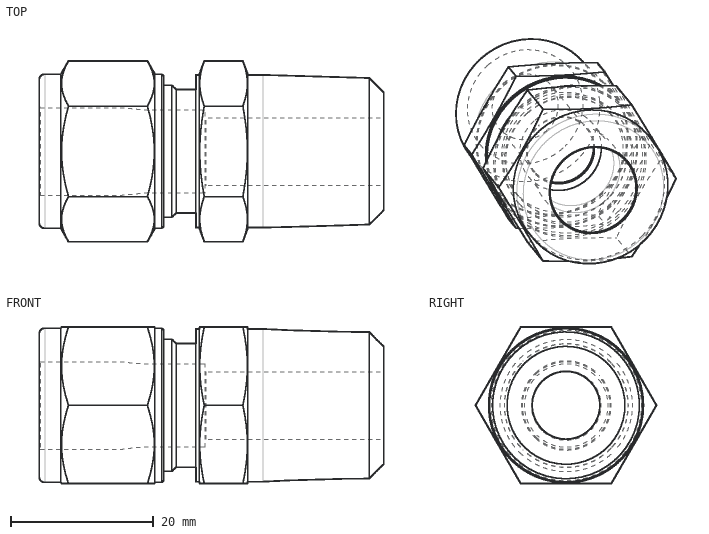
import cadquery as cq
import math

length = 48.3
across_flats = 22.0
across_corners = across_flats / math.cos(math.radians(30))

nut_radius = 10.8
nut_end = 17.5
nut_round = 0.75
nut_back_bevel = 0.3
nut_hex_start = 3.05
nut_hex_end = 16.25
nut_hex_bevel = 1.05

collar_radius = 9.3
collar_end = 19.25
collar_bevel = 0.65
neck_radius = 8.7
neck_end = 22.0

body_radius = 10.75
body_hex_start = 22.45
body_hex_end = 29.25
body_hex_bevel = 0.7
body_hex_face_radius = 10.85
taper_start = 31.35
tip_bevel = 2.05
taper_end_radius = 10.3
tip_radius = taper_end_radius - tip_bevel

mouth_radius = 6.3
mouth_bevel = 0.15
lead_in_radius = mouth_radius - mouth_bevel
socket_radius = 5.85
socket_taper_start = 11.6
socket_taper_end = 14.5
socket_depth = 23.2
bore_radius = 4.75
bore_edge_bevel = 0.15


def revolve_about_x(profile):
    return profile.close().revolve(360, (0, 0, 0), (1, 0, 0))


def hexagon(start, end, bevel, bevel_radius):
    """Hexagonal prism with flats facing up and down and conically cut corners."""
    prism = cq.Workplane("YZ").workplane(offset=start).polygon(6, across_corners).extrude(end - start)
    corner_radius = across_corners / 2
    envelope = revolve_about_x(
        cq.Workplane("XY")
        .moveTo(start, 0)
        .lineTo(start, bevel_radius)
        .lineTo(start + bevel, corner_radius)
        .lineTo(end - bevel, corner_radius)
        .lineTo(end, bevel_radius)
        .lineTo(end, 0)
    )
    return prism.intersect(envelope)


def turned_body():
    """Solid of revolution carrying every round outer surface."""
    return revolve_about_x(
        cq.Workplane("XY")
        .lineTo(0, nut_radius - nut_round)
        .radiusArc((nut_round, nut_radius), nut_round)
        .lineTo(nut_end - nut_back_bevel, nut_radius)
        .lineTo(nut_end, nut_radius - nut_back_bevel)
        .lineTo(nut_end, collar_radius)
        .lineTo(collar_end - collar_bevel, collar_radius)
        .lineTo(collar_end, collar_radius - collar_bevel)
        .lineTo(collar_end, neck_radius)
        .lineTo(neck_end, neck_radius)
        .lineTo(neck_end, body_radius)
        .lineTo(taper_start, body_radius)
        .lineTo(length - tip_bevel, taper_end_radius)
        .lineTo(length, tip_radius)
        .lineTo(length, 0)
    )


def bore():
    """Stepped passage along the whole axis."""
    return revolve_about_x(
        cq.Workplane("XY")
        .lineTo(0, mouth_radius)
        .lineTo(mouth_bevel, lead_in_radius)
        .lineTo(socket_taper_start, lead_in_radius)
        .lineTo(socket_taper_end, socket_radius)
        .lineTo(socket_depth, socket_radius)
        .lineTo(socket_depth, bore_radius + bore_edge_bevel)
        .lineTo(socket_depth + bore_edge_bevel, bore_radius)
        .lineTo(length, bore_radius)
        .lineTo(length, 0)
    )


nut_hex = hexagon(nut_hex_start, nut_hex_end, nut_hex_bevel, nut_radius)
body_hex = hexagon(body_hex_start, body_hex_end, body_hex_bevel, body_hex_face_radius)
result = turned_body().union(nut_hex).union(body_hex).cut(bore())